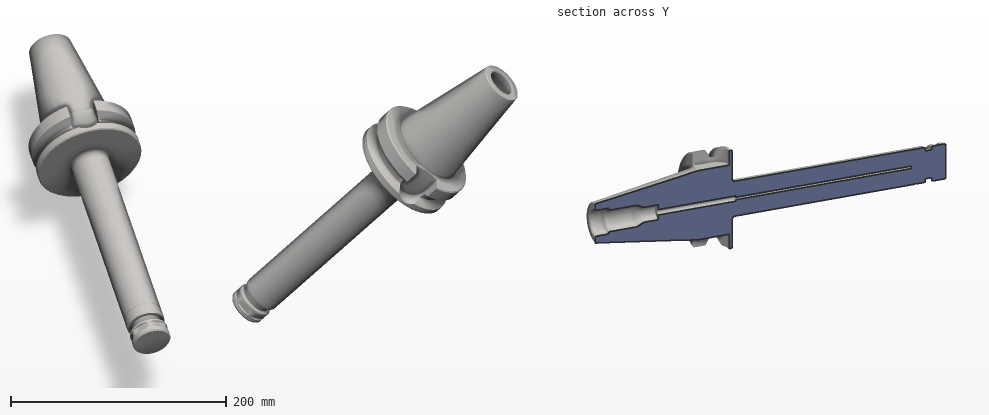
import cadquery as cq
import math


taper_length = 101.7
gauge_radius = 35.0
taper_ratio = 7 / 24
taper_radius_per_length = taper_ratio / 2
small_end_radius = gauge_radius - taper_length * taper_radius_per_length
small_end_chamfer = 0.7

flange_start = 105.0
flange_end = 140.0
flange_radius = 50.0
flange_chamfer = 1.0
neck_fillet = 2.0
groove_start = 118.0
groove_end = 132.7
groove_radius = 42.0
groove_angle = 60
groove_flank = (flange_radius - groove_radius) * math.tan(math.radians(groove_angle / 2))

slot_width = 25.7
slot_floor = 35.5
slot_end = 136.3

shank_radius = 36.0 / 2
root_fillet = 2.0
shank_end = 335.7
shank_end_chamfer_length = 2.0
shank_end_chamfer_depth = 0.5
ring_start = 324.0
ring_width = 2.0
ring_depth = 0.18

nut_neck_radius = 29.0 / 2
nut_start = 342.0
nut_end = 356.8
nut_fillet = 1.8
nut_end_chamfer = 1.5
nut_end_chamfer_depth = 1.0
flat_count = 6
flat_distance = 32.5 / 2
flat_start = 345.7
flat_end = 351.0
flat_wall_angle = 25

bore_mouth_radius = 14.0
bore_mouth_chamfer = 1.0
counterbore_radius = bore_mouth_radius - bore_mouth_chamfer
counterbore_depth = 13.0
bore_radius = 10.7
bore_step_length = counterbore_radius - bore_radius
bore_cone_start = 42.8
bore_cone_length = 7.0
pilot_radius = 14.5 / 2
pilot_depth = 64.2
coolant_radius = 2.5
coolant_depth = 142.7
coolant_tip_radius = 1.0
coolant_tip_depth = 321.0


def revolve_about_x(profile):
    return profile.close().revolve(360, (0, 0, 0), (1, 0, 0))


def make_body():
    """Outer shape, from the small taper end to the nut face; arc_offset places the middle of each fillet."""
    arc_offset = math.sqrt(0.5)
    neck_center = (flange_start - neck_fillet, gauge_radius + neck_fillet)
    root_center = (flange_end + root_fillet, shank_radius + root_fillet)
    nut_center = (nut_start + nut_fillet, shank_radius - nut_fillet)
    profile = (
        cq.Workplane("XY")
        .moveTo(0, 0)
        .lineTo(0, small_end_radius - small_end_chamfer)
        .lineTo(small_end_chamfer, small_end_radius + small_end_chamfer * taper_radius_per_length)
        .lineTo(taper_length, gauge_radius)
        .lineTo(neck_center[0], gauge_radius)
        .threePointArc(
            (neck_center[0] + neck_fillet * arc_offset, neck_center[1] - neck_fillet * arc_offset),
            (flange_start, neck_center[1]),
        )
        .lineTo(flange_start, flange_radius - flange_chamfer)
        .lineTo(flange_start + flange_chamfer, flange_radius)
        .lineTo(groove_start, flange_radius)
        .lineTo(groove_start + groove_flank, groove_radius)
        .lineTo(groove_end - groove_flank, groove_radius)
        .lineTo(groove_end, flange_radius)
        .lineTo(flange_end - flange_chamfer, flange_radius)
        .lineTo(flange_end, flange_radius - flange_chamfer)
        .lineTo(flange_end, root_center[1])
        .threePointArc(
            (root_center[0] - root_fillet * arc_offset, root_center[1] - root_fillet * arc_offset),
            (root_center[0], shank_radius),
        )
        .lineTo(ring_start, shank_radius)
        .lineTo(ring_start, shank_radius - ring_depth)
        .lineTo(ring_start + ring_width, shank_radius - ring_depth)
        .lineTo(ring_start + ring_width, shank_radius)
        .lineTo(shank_end - shank_end_chamfer_length, shank_radius)
        .lineTo(shank_end, shank_radius - shank_end_chamfer_depth)
        .lineTo(shank_end, nut_neck_radius)
        .lineTo(nut_start, nut_neck_radius)
        .lineTo(nut_start, nut_center[1])
        .threePointArc(
            (nut_center[0] - nut_fillet * arc_offset, nut_center[1] + nut_fillet * arc_offset),
            (nut_center[0], shank_radius),
        )
        .lineTo(nut_end - nut_end_chamfer, shank_radius)
        .lineTo(nut_end, shank_radius - nut_end_chamfer_depth)
        .lineTo(nut_end, 0)
    )
    return revolve_about_x(profile)


def make_bore():
    profile = (
        cq.Workplane("XY")
        .moveTo(0, 0)
        .lineTo(0, bore_mouth_radius)
        .lineTo(bore_mouth_chamfer, counterbore_radius)
        .lineTo(counterbore_depth, counterbore_radius)
        .lineTo(counterbore_depth + bore_step_length, bore_radius)
        .lineTo(bore_cone_start, bore_radius)
        .lineTo(bore_cone_start + bore_cone_length, pilot_radius)
        .lineTo(pilot_depth, pilot_radius)
        .lineTo(pilot_depth, coolant_radius)
        .lineTo(coolant_depth, coolant_radius)
        .lineTo(coolant_depth, coolant_tip_radius)
        .lineTo(coolant_tip_depth, coolant_tip_radius)
        .lineTo(coolant_tip_depth, 0)
    )
    return revolve_about_x(profile)


def make_drive_slot():
    """Slot above the axis, open at the flange front and rounded at its far end."""
    half_width = slot_width / 2
    round_center = slot_end - half_width
    return (
        cq.Workplane("XY", origin=(0, 0, slot_floor))
        .moveTo(taper_length, -half_width)
        .lineTo(round_center, -half_width)
        .threePointArc((slot_end, 0), (round_center, half_width))
        .lineTo(taper_length, half_width)
        .close()
        .extrude(flange_radius)
    )


def make_wrench_flat():
    """Cutter for the flat on the +Y side of the nut, with sloping end walls."""
    cut_height = 3.5
    wall_run = cut_height * math.tan(math.radians(flat_wall_angle))
    return (
        cq.Workplane("XY")
        .moveTo(flat_start, flat_distance)
        .lineTo(flat_end, flat_distance)
        .lineTo(flat_end + wall_run, flat_distance + cut_height)
        .lineTo(flat_start - wall_run, flat_distance + cut_height)
        .close()
        .extrude(shank_radius, both=True)
    )


def turn_about_x(solid, angle):
    return solid.rotate((0, 0, 0), (1, 0, 0), angle)


result = make_body().cut(make_bore())

for slot_angle in (0, 180):
    result = result.cut(turn_about_x(make_drive_slot(), slot_angle))

for flat_index in range(flat_count):
    result = result.cut(turn_about_x(make_wrench_flat(), flat_index * 360 / flat_count))